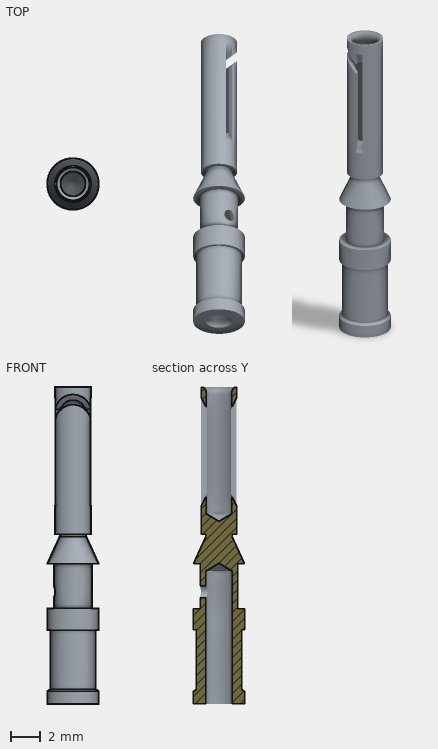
import cadquery as cq
import math

total_height = 21.5
rim_height = 0.85
rim_cone_top = 0.99
collar_bottom = 5.0
collar_top = 6.5
barb_bottom = 9.5
barb_top = 11.35
socket_bottom = 11.5

flange_diameter = 3.5
barrel_diameter = 3.1
waist_diameter = 2.58
neck_diameter = 1.8
socket_diameter = 2.45

socket_bore_diameter = 1.68
socket_bore_floor = 12.9
mouth_diameter = 2.21
flare_radius = 0.5
wire_bore_diameter = 1.75
wire_bore_top = 9.0
drill_point_angle = 118.0

inspection_diameter = 0.8
inspection_height = 7.61

slot_width = 0.47
slot_bottom = 13.42
slot_top = 20.8
slot_end_slope = 2.0

slant_angle = 45.0
slant_width = 0.5
slant_start_height = 20.0


def turned_body():
    flange_r = flange_diameter / 2
    barrel_r = barrel_diameter / 2
    waist_r = waist_diameter / 2
    neck_r = neck_diameter / 2
    socket_r = socket_diameter / 2
    return (
        cq.Workplane("XZ")
        .moveTo(0, 0)
        .lineTo(flange_r, 0)
        .lineTo(flange_r, rim_height)
        .lineTo(barrel_r, rim_cone_top)
        .lineTo(barrel_r, collar_bottom)
        .lineTo(flange_r, collar_bottom)
        .lineTo(flange_r, collar_top)
        .lineTo(waist_r, collar_top)
        .lineTo(waist_r, barb_bottom)
        .lineTo(flange_r, barb_bottom)
        .lineTo(neck_r, barb_top)
        .lineTo(neck_r, socket_bottom)
        .lineTo(socket_r, socket_bottom)
        .lineTo(socket_r, total_height)
        .lineTo(0, total_height)
        .close()
        .revolve(360, (0, 0), (0, 1))
    )


def drill_point_depth(diameter):
    return diameter / 2 / math.tan(math.radians(drill_point_angle / 2))


def socket_bore():
    """Blind bore with a conical floor and a rounded, flared mouth."""
    bore_r = socket_bore_diameter / 2
    mouth_r = mouth_diameter / 2
    flare_sweep = math.acos(1 - (mouth_r - bore_r) / flare_radius)
    flare_base = total_height - flare_radius * math.sin(flare_sweep)
    flare_middle = (
        bore_r + flare_radius * (1 - math.cos(flare_sweep / 2)),
        flare_base + flare_radius * math.sin(flare_sweep / 2),
    )
    return (
        cq.Workplane("XZ")
        .moveTo(0, socket_bore_floor - drill_point_depth(socket_bore_diameter))
        .lineTo(bore_r, socket_bore_floor)
        .lineTo(bore_r, flare_base)
        .threePointArc(flare_middle, (mouth_r, total_height))
        .lineTo(0, total_height)
        .close()
        .revolve(360, (0, 0), (0, 1))
    )


def wire_bore():
    """Blind bore from the wire end with a conical floor."""
    bore_r = wire_bore_diameter / 2
    return (
        cq.Workplane("XZ")
        .lineTo(bore_r, 0)
        .lineTo(bore_r, wire_bore_top)
        .lineTo(0, wire_bore_top + drill_point_depth(wire_bore_diameter))
        .close()
        .revolve(360, (0, 0), (0, 1))
    )


def inspection_hole():
    return (
        cq.Workplane("YZ")
        .center(0, inspection_height)
        .circle(inspection_diameter / 2)
        .extrude(-waist_diameter / 2)
    )


def slot():
    """Two mirrored cuts, each longest at the outer wall and shortest at the axis."""
    outer_x = socket_diameter / 2
    taper = slot_end_slope * outer_x
    half = (
        cq.Workplane("XZ")
        .polyline([
            (-outer_x, slot_bottom),
            (0, slot_bottom + taper),
            (0, slot_top - taper),
            (-outer_x, slot_top),
        ])
        .close()
        .extrude(slot_width / 2, both=True)
    )
    return half.union(half.mirror("YZ"))


def slanted_cut():
    """Cut right across X that rises from the slot to the -Y side."""
    slot_edge_y = -slot_width / 2
    outer_y = -socket_diameter / 2
    rise = (slot_edge_y - outer_y) * math.tan(math.radians(slant_angle))
    gap = slant_width / math.cos(math.radians(slant_angle))
    return (
        cq.Workplane("YZ")
        .polyline([
            (slot_edge_y, slant_start_height),
            (outer_y, slant_start_height + rise),
            (outer_y, slant_start_height + rise - gap),
            (slot_edge_y, slant_start_height - gap),
        ])
        .close()
        .extrude(socket_diameter / 2, both=True)
    )


result = (
    turned_body()
    .cut(socket_bore())
    .cut(wire_bore())
    .cut(inspection_hole())
    .cut(slot())
    .cut(slanted_cut())
)